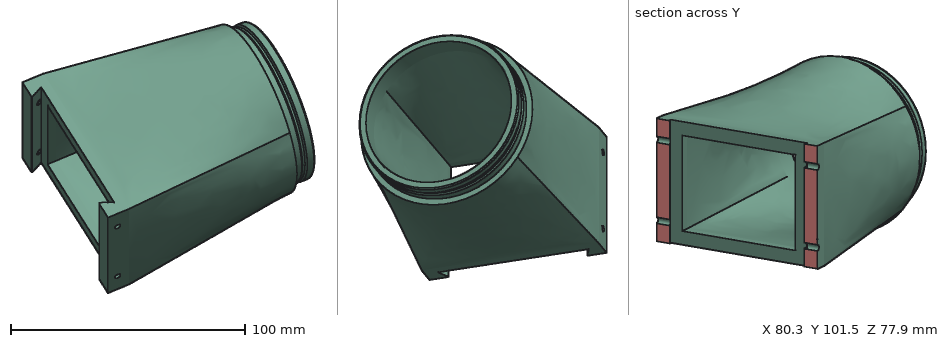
import cadquery as cq
import math

total_length = 101.5
width = 80.3
height = 54.9

plate_back = 10.2
slot_depth = 6.0
slot_root_inset = 6.0
jaw_tip_width = 8.7
tip_bevel = 0.4
screw_diameter = 2.5
screw_y = 4.7
screw_spacing = 36.0

window_width = 56.4
window_height = 42.6
body_end = 91.4
body_diameter = 77.9
bore_diameter = 66.0
corner_seam = math.degrees(math.atan2(height, width))
steep_seam = 39.0

spigot_diameter = 72.5
groove_diameter = 71.0
groove_start = 95.0
groove_end = 97.6
spigot_chamfer = 0.6


def rectangle_wire(size_x, size_z, y):
    """Rectangle normal to Y, starting at its upper right corner."""
    x = size_x / 2
    z = size_z / 2
    corners = [(x, y, z), (-x, y, z), (-x, y, -z), (x, y, -z)]
    return cq.Wire.makePolygon([cq.Vector(*c) for c in corners], close=True)


def circle_wire(diameter, y):
    """Circle normal to Y, split into four arcs at the corner seams."""
    def point(angle):
        a = math.radians(angle)
        return cq.Vector(diameter / 2 * math.cos(a), y, diameter / 2 * math.sin(a))

    seams = [corner_seam, 180 - steep_seam, 180 + corner_seam, 360 - steep_seam, 360 + corner_seam]
    arcs = []
    for start, end in zip(seams, seams[1:]):
        arcs.append(cq.Edge.makeThreePointArc(point(start), point((start + end) / 2), point(end)))
    return cq.Wire.assembleEdges(arcs)


def transition(size_x, size_z, diameter):
    """Solid blending from a rectangle at the plate to a circle at the spigot."""
    wires = [rectangle_wire(size_x, size_z, plate_back), circle_wire(diameter, body_end)]
    return cq.Workplane(obj=cq.Solid.makeLoft(wires, True))


def dovetail_plate():
    """Plate with two undercut jaws, drilled along X for screws."""
    half = width / 2
    root = half - slot_root_inset
    tip = half - jaw_tip_width
    right_side = [
        (half, plate_back),
        (half, 0),
        (tip + tip_bevel, 0),
        (tip, tip_bevel),
        (root, slot_depth),
    ]
    left_side = [(-x, y) for x, y in reversed(right_side)]
    plate = cq.Workplane("XY").polyline(right_side + left_side).close().extrude(height / 2, both=True)
    for z in (-screw_spacing / 2, screw_spacing / 2):
        screw_hole = (
            cq.Workplane("YZ").center(screw_y, z).circle(screw_diameter / 2).extrude(width, both=True)
        )
        plate = plate.cut(screw_hole)
    return plate


def spigot():
    """Turned ring with a chamfered end and a groove with 45 degree flanks."""
    radius = spigot_diameter / 2
    floor_radius = groove_diameter / 2
    flank = radius - floor_radius
    profile = [
        (0, body_end),
        (radius, body_end),
        (radius, groove_start),
        (floor_radius, groove_start + flank),
        (floor_radius, groove_end - flank),
        (radius, groove_end),
        (radius, total_length - spigot_chamfer),
        (radius - spigot_chamfer, total_length),
        (0, total_length),
    ]
    return cq.Workplane("XY").polyline(profile).close().revolve(360, (0, 0), (0, 1))


def along_y(sketch, start, end):
    """Extrude a profile drawn on an XZ plane from Y = start to Y = end."""
    return sketch.extrude(start - end).translate((0, start, 0))


window = along_y(cq.Workplane("XZ").rect(window_width, window_height), 0, plate_back)
bore = along_y(cq.Workplane("XZ").circle(bore_diameter / 2), body_end, total_length)

outside = dovetail_plate().union(transition(width, height, body_diameter)).union(spigot())
result = outside.cut(transition(window_width, window_height, bore_diameter)).cut(window).cut(bore)